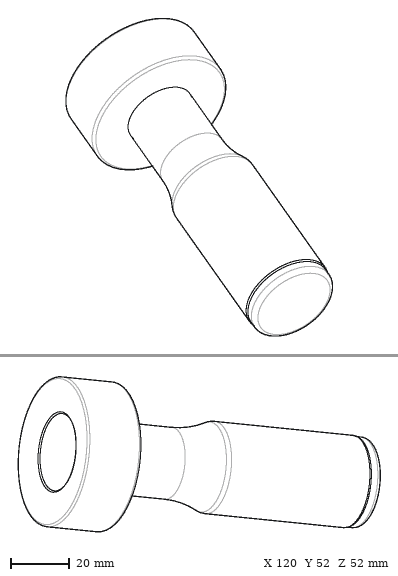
import cadquery as cq
import math

total_length = 120.0
head_length = 21.0

head_radius = 52.0 / 2
head_front_round = 0.7
head_back_round = 1.0
dish_outer_radius = head_radius - head_front_round
dish_inner_radius = 27.8 / 2
dish_depth = 1.7
floor_radius = 26.8 / 2
floor_step = 0.5

neck_radius = 25.0 / 2
shank_radius = 32.0 / 2
end_radius = 31.5 / 2
neck_end = 45.0
flare_end = 61.2
shoulder_radius = 4.3
shank_end = 115.1
step_length = 0.7
end_round = 1.7

AXIS_START = (0, 0, 0)
AXIS_END = (1, 0, 0)
ARC_MIDDLE = math.sqrt(0.5)


def revolve_about_x(profile):
    """Turn a closed (x, radius) profile about the X axis."""
    return profile.close().revolve(360, AXIS_START, AXIS_END)


def rounded_corner(profile, center_x, center_radius, radius, direction):
    """Add a quarter round; direction +1 ends on the outside, -1 ends on the back face."""
    middle = (
        center_x - direction * radius * ARC_MIDDLE,
        center_radius + radius * ARC_MIDDLE,
    )
    if direction > 0:
        end = (center_x, center_radius + radius)
    else:
        end = (center_x + radius, center_radius)
    return profile.threePointArc(middle, end)


def make_head():
    """Disc with rounded rims and a shallow conical dish in its front face."""
    floor_x = dish_depth + floor_step
    profile = (
        cq.Workplane("XY")
        .moveTo(floor_x, 0)
        .lineTo(floor_x, floor_radius)
        .lineTo(dish_depth, dish_inner_radius)
        .lineTo(0, dish_outer_radius)
    )
    profile = rounded_corner(profile, head_front_round, dish_outer_radius, head_front_round, 1)
    back_center_x = head_length - head_back_round
    profile = profile.lineTo(back_center_x, head_radius)
    profile = rounded_corner(profile, back_center_x, head_radius - head_back_round, head_back_round, -1)
    profile = profile.lineTo(head_length, 0)
    return revolve_about_x(profile)


def make_shank():
    """Neck, flare of two tangent arcs, cylindrical shank and rounded end collar."""
    flare_length = flare_end - neck_end
    flare_rise = shank_radius - neck_radius
    radius_sum = (flare_length**2 + flare_rise**2) / (2 * flare_rise)
    flare_radius = radius_sum - shoulder_radius
    flare_angle = math.asin(flare_length / radius_sum)

    def flare_point(angle):
        return (
            neck_end + flare_radius * math.sin(angle),
            neck_radius + flare_radius * (1 - math.cos(angle)),
        )

    def shoulder_point(angle):
        return (
            flare_end - shoulder_radius * math.sin(angle),
            shank_radius - shoulder_radius * (1 - math.cos(angle)),
        )

    profile = (
        cq.Workplane("XY")
        .moveTo(head_length, 0)
        .lineTo(head_length, neck_radius)
        .lineTo(neck_end, neck_radius)
        .threePointArc(flare_point(flare_angle / 2), flare_point(flare_angle))
        .threePointArc(shoulder_point(flare_angle / 2), shoulder_point(0))
        .lineTo(shank_end, shank_radius)
        .lineTo(shank_end + step_length, end_radius)
        .lineTo(total_length - end_round, end_radius)
    )
    profile = rounded_corner(profile, total_length - end_round, end_radius - end_round, end_round, -1)
    profile = profile.lineTo(total_length, 0)
    return revolve_about_x(profile)


head = make_head()
shank = make_shank()

result = cq.Compound.makeCompound([head.val(), shank.val()])